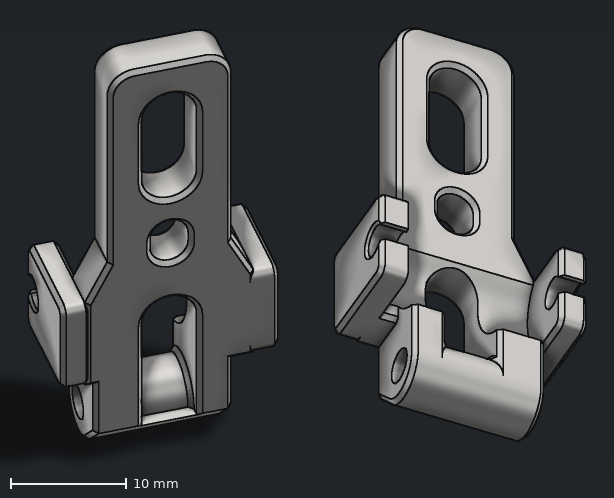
import cadquery as cq
import math


height = 42.7
depth = 10.1
width = 19.8
edge_chamfer = 0.43

plate_thickness = 4.5
plate_half_width = 5.65
plate_corner_radius = 2.4
taper_top = 21.85
taper_half_width = 7.7

long_slot_width = 5.0
long_slot_length = 11.55
long_slot_z = 33.5
short_slot_width = 3.45
short_slot_length = 4.4
short_slot_z = 22.97

ear_thickness = 2.65
ear_bottom = 8.7
ear_top = 17.85
ear_corner_radius = 1.02
ear_outer_y = width / 2
ear_inner_y = ear_outer_y - ear_thickness
clip_x = -8.5
clip_z = (ear_bottom + ear_top) / 2
clip_diameter = 3.0
clip_mouth = 1.9
clip_chamfer = 0.25

block_depth = 7.7
block_left_y = plate_half_width
block_right_y = -6.95
barrel_radius = 3.07
barrel_x = barrel_radius - block_depth
barrel_z = barrel_radius
pin_diameter = 3.2
pin_x = -4.7
pin_z = 3.45

clearance_radius = 5.55
clearance_x = -8.85
clearance_z = 13.7

window_width = 5.0
window_top = 16.75


def cylinder_y(x, z, radius, y_min, y_max):
    """Cylinder along Y from y_min to y_max."""
    return cq.Workplane("XZ", origin=(x, y_min, z)).circle(radius).extrude(y_min - y_max)


def make_plate():
    """Upright plate with a taper that widens into the ears, chamfered front and back."""
    plate = (
        cq.Workplane("YZ")
        .moveTo(-taper_half_width, ear_bottom)
        .lineTo(taper_half_width, ear_bottom)
        .lineTo(taper_half_width, ear_top)
        .lineTo(plate_half_width, taper_top)
        .lineTo(plate_half_width, height)
        .lineTo(-plate_half_width, height)
        .lineTo(-plate_half_width, taper_top)
        .lineTo(-taper_half_width, ear_top)
        .close()
        .extrude(-plate_thickness)
    )
    plate = plate.edges("|X and >Z").fillet(plate_corner_radius)
    return plate.faces("<X or >X").chamfer(edge_chamfer)


def slot_cutter(slot_width, slot_length, z):
    """Vertical slot through the plate, chamfered at the front and back."""
    slot = (
        cq.Workplane("YZ")
        .center(0, z)
        .slot2D(slot_length, slot_width, 90)
        .extrude(-plate_thickness)
    )
    for face_x, inward in ((-plate_thickness, 1), (0, -1)):
        mouth = (
            cq.Workplane("YZ", origin=(face_x, 0, z))
            .slot2D(slot_length + 2 * edge_chamfer, slot_width + 2 * edge_chamfer, 90)
            .workplane(offset=inward * edge_chamfer)
            .slot2D(slot_length, slot_width, 90)
            .loft(ruled=True)
        )
        slot = slot.union(mouth)
    return slot


def make_ear(side):
    """Ear with an open clip hole; side is +1 or -1 along Y."""
    ear = (
        cq.Workplane("XY")
        .box(depth, ear_thickness, ear_top - ear_bottom, centered=(False, True, False))
        .translate((-depth, side * (ear_outer_y - ear_thickness / 2), ear_bottom))
        .edges("|Y")
        .fillet(ear_corner_radius)
    )
    if side > 0:
        ear = ear.faces(">Y").chamfer(edge_chamfer)
        bevel = (
            cq.Workplane("YZ")
            .moveTo(ear_inner_y, ear_top)
            .lineTo(ear_inner_y + edge_chamfer, ear_top)
            .lineTo(ear_inner_y, ear_top - edge_chamfer)
            .close()
            .extrude(-depth)
        )
        ear = ear.cut(bevel)
    else:
        ear = ear.faces("<Y or >Y").chamfer(edge_chamfer)

    clip_radius = clip_diameter / 2
    hole = cylinder_y(clip_x, clip_z, clip_radius, -ear_outer_y, ear_outer_y)
    countersink = cq.Workplane("XY").add(
        cq.Solid.makeCone(
            clip_radius + clip_chamfer,
            clip_radius,
            clip_chamfer,
            pnt=cq.Vector(clip_x, side * ear_outer_y, clip_z),
            dir=cq.Vector(0, -side, 0),
        )
    )
    mouth = (
        cq.Workplane("XY")
        .box(depth + clip_x, width, clip_mouth, centered=(False, True, True))
        .translate((-depth, 0, clip_z))
    )
    return ear.cut(hole).cut(countersink).cut(mouth)


def make_block():
    """Hinge block: a round barrel at the bottom, joined to the back by a 45 degree face."""
    diagonal = barrel_radius * math.sqrt(0.5)
    tangent_x = barrel_x + diagonal
    tangent_z = barrel_z - diagonal
    middle_angle = math.pi / 8
    back_middle_x = barrel_x + barrel_radius * math.sin(middle_angle)
    back_middle_z = barrel_z - barrel_radius * math.cos(middle_angle)
    block = (
        cq.Workplane("XZ", origin=(0, block_left_y, 0))
        .moveTo(0, clearance_z)
        .lineTo(-block_depth, clearance_z)
        .lineTo(-block_depth, barrel_z)
        .threePointArc((barrel_x - diagonal, tangent_z), (barrel_x, 0))
        .threePointArc((back_middle_x, back_middle_z), (tangent_x, tangent_z))
        .lineTo(0, tangent_z - tangent_x)
        .close()
        .extrude(block_left_y - block_right_y)
    )
    return block.faces("<Y or >Y").chamfer(edge_chamfer)


def space_above_barrel(radius, half_length):
    """Space outside a given radius around the barrel, from its axis up to the window top."""
    return (
        cq.Workplane("XZ", origin=(0, half_length, 0))
        .moveTo(-depth, barrel_z)
        .lineTo(barrel_x - radius, barrel_z)
        .threePointArc((barrel_x, barrel_z + radius), (barrel_x + radius, barrel_z))
        .lineTo(0, barrel_z)
        .lineTo(0, window_top)
        .lineTo(-depth, window_top)
        .close()
        .extrude(2 * half_length)
    )


def window_outline(margin, x):
    """Round-topped window outline, widened by a margin, in the plane at x."""
    half = window_width / 2 + margin
    spring_z = window_top - window_width / 2
    return (
        cq.Workplane("YZ", origin=(x, 0, 0))
        .moveTo(-half, barrel_z)
        .lineTo(-half, spring_z)
        .threePointArc((0, spring_z + half), (half, spring_z))
        .lineTo(half, barrel_z)
        .close()
    )


def window_cutter():
    """Round-topped window above the barrel, leaving cones where the barrel meets its walls."""
    half = window_width / 2
    flare_radius = barrel_radius + edge_chamfer
    rough_radius = flare_radius + edge_chamfer / 2
    ring_radius = flare_radius + edge_chamfer
    ring_gap = edge_chamfer / 2
    opening = window_outline(0, 0).extrude(-depth)
    opening = opening.intersect(space_above_barrel(rough_radius, half))
    ring = (
        cq.Workplane("XY")
        .moveTo(barrel_x + barrel_radius + ring_gap, edge_chamfer - half)
        .lineTo(barrel_x + barrel_radius + ring_gap, half - edge_chamfer)
        .lineTo(barrel_x + barrel_radius, half - edge_chamfer)
        .lineTo(barrel_x + flare_radius, half)
        .lineTo(barrel_x + ring_radius, half)
        .lineTo(barrel_x + ring_radius, -half)
        .lineTo(barrel_x + flare_radius, -half)
        .lineTo(barrel_x + barrel_radius, edge_chamfer - half)
        .close()
        .revolve(180, (barrel_x, 0, 0), (barrel_x, -1, 0))
        .translate((0, 0, barrel_z))
    )
    wide_outline = window_outline(edge_chamfer, 0).val()
    plain_outline = window_outline(0, -edge_chamfer).val()
    back_rim = cq.Workplane("XY").add(cq.Solid.makeLoft([wide_outline, plain_outline], True))
    return opening.union(ring).union(back_rim)


def passage_cutter():
    """Passage over the bare middle of the barrel, with bevels on the front edges of the walls."""
    front_half = window_width / 2 + edge_chamfer
    inner_half = window_width / 2 - edge_chamfer
    inner_x = -block_depth + 2 * edge_chamfer
    passage = (
        cq.Workplane("XY")
        .moveTo(-depth, -front_half)
        .lineTo(-depth, front_half)
        .lineTo(-block_depth, front_half)
        .lineTo(inner_x, inner_half)
        .lineTo(0, inner_half)
        .lineTo(0, -inner_half)
        .lineTo(inner_x, -inner_half)
        .lineTo(-block_depth, -front_half)
        .close()
        .extrude(clearance_z)
    )
    return passage.intersect(space_above_barrel(barrel_radius, width))


clearance = cylinder_y(clearance_x, clearance_z, clearance_radius, -ear_inner_y, ear_inner_y)
pin_hole = cylinder_y(pin_x, pin_z, pin_diameter / 2, -width, width)

body = make_plate().union(make_block())
body = body.cut(clearance)
body = body.cut(passage_cutter())
body = body.cut(window_cutter())
body = body.cut(pin_hole)
body = body.cut(slot_cutter(long_slot_width, long_slot_length, long_slot_z))
body = body.cut(slot_cutter(short_slot_width, short_slot_length, short_slot_z))
for ear_side in (1, -1):
    body = body.union(make_ear(ear_side))

result = body